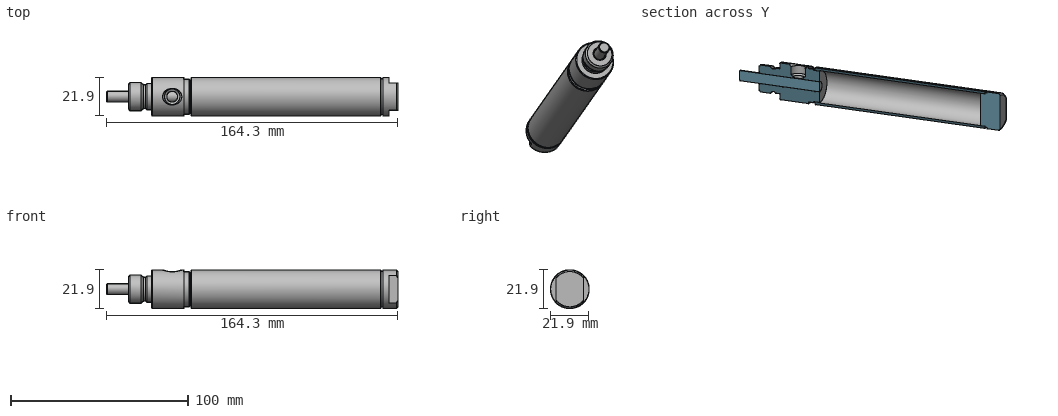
import cadquery as cq


overall_length = 164.3
body_radius = 21.9 / 2
edge_chamfer = 0.5
rod_radius = 3.1

rod_tip_chamfer = 0.41

nose_start = 12.3
nose_radius = 8.0
nose_chamfer = 1.0
nose_length = 8.0
relief_radius = 6.7
relief_start = 20.9
relief_end = 22.0
relief_wall = 0.8
spigot_radius = 15.0 / 2
head_start = 25.3
head_end = 43.5
neck_radius = 19.9 / 2
neck_end = 46.5
seat_radius = 9.4
neck_taper = 0.5
tube_gap = 1.0
seat_depth = 3.0
bore_mouth_radius = 3.8

port_x = 37.0
port_radius = 8.7 / 2
port_mouth_radius = 5.5
port_mouth_depth = 1.5
port_depth = 6.0
port_pilot_radius = 6.0 / 2
port_floor_height = 0.8

tube_start = neck_end + tube_gap
seat_end = tube_start + seat_depth
tube_end = 154.8

cap_start = tube_end + tube_gap
cap_groove_radius = 10.2
cap_end_chamfer = 1.0
flat_length = 5.1
flat_half_width = 7.7


def turned(outline):
    """Solid of revolution about the X axis from (x, radius) points."""
    return cq.Workplane("XZ").polyline(outline).close().revolve(360, (0, 0, 0), (1, 0, 0))


def make_rod():
    """Piston rod, running through the head up to its inner end."""
    return turned([
        (0, 0),
        (0, rod_radius - rod_tip_chamfer),
        (rod_tip_chamfer, rod_radius),
        (seat_end, rod_radius),
        (seat_end, 0),
    ])


def make_port():
    """Port cutter: chamfered mouth, straight bore, conical floor and pilot down to the rod."""
    shoulder = body_radius - port_depth
    port = (
        cq.Workplane("XZ")
        .lineTo(port_pilot_radius, 0)
        .lineTo(port_pilot_radius, shoulder - port_floor_height)
        .lineTo(port_radius, shoulder)
        .lineTo(port_radius, body_radius - port_mouth_depth)
        .lineTo(port_mouth_radius, body_radius)
        .lineTo(0, body_radius)
        .close()
        .revolve(360, (0, 0, 0), (0, 1, 0))
    )
    return port.translate((port_x, 0, 0))


def make_head():
    """Front head: nose, relief groove, spigot, ported block, neck and seat inside the tube."""
    nose_end = nose_start + nose_length
    mouth_depth = bore_mouth_radius - rod_radius
    head = turned([
        (nose_start + mouth_depth, rod_radius),
        (nose_start, bore_mouth_radius),
        (nose_start, nose_radius - nose_chamfer),
        (nose_start + nose_chamfer, nose_radius),
        (nose_end - nose_chamfer, nose_radius),
        (nose_end, nose_radius - nose_chamfer),
        (relief_start, relief_radius),
        (relief_end, relief_radius),
        (relief_end + relief_wall, spigot_radius),
        (head_start, spigot_radius),
        (head_start, body_radius - edge_chamfer),
        (head_start + edge_chamfer, body_radius),
        (head_end, body_radius),
        (head_end, neck_radius),
        (neck_end, neck_radius),
        (neck_end + neck_taper, seat_radius),
        (seat_end, seat_radius),
        (seat_end, rod_radius),
    ])
    head = head.rotate((0, 0, 0), (1, 0, 0), 90)
    return head.cut(make_port())


def make_tube():
    """Plain barrel, chamfered outside at both ends."""
    return turned([
        (tube_start, seat_radius),
        (tube_start, body_radius - edge_chamfer),
        (tube_start + edge_chamfer, body_radius),
        (tube_end - edge_chamfer, body_radius),
        (tube_end, body_radius - edge_chamfer),
        (tube_end, seat_radius),
    ])


def make_cap():
    """Plug in the tube's rear end, with two wrench flats facing +Y and -Y."""
    cap = turned([
        (tube_end - seat_depth, 0),
        (tube_end - seat_depth, seat_radius),
        (tube_end, seat_radius),
        (tube_end, cap_groove_radius),
        (cap_start, cap_groove_radius),
        (cap_start, body_radius),
        (overall_length - cap_end_chamfer, body_radius),
        (overall_length, body_radius - cap_end_chamfer),
        (overall_length, 0),
    ])
    flat_depth = body_radius - flat_half_width
    for side in (-1, 1):
        flat_y = side * (flat_half_width + flat_depth / 2)
        cutter = cq.Workplane("XY").box(2 * flat_length, flat_depth, 2 * body_radius)
        cap = cap.cut(cutter.translate((overall_length, flat_y, 0)))
    return cap


rod = make_rod()
head = make_head()
tube = make_tube()
cap = make_cap()
result = cq.Compound.makeCompound([rod.val(), head.val(), tube.val(), cap.val()])